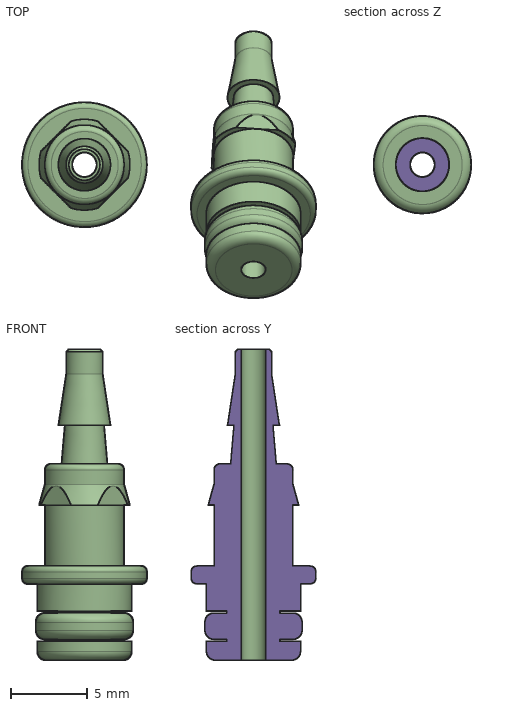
import cadquery as cq

total_height = 20.4
bore_diameter = 1.6

plug_diameter = 6.2
plug_end_height = 1.26
plug_end_fillet = 0.6
groove_diameter = 3.5
groove_top = 3.22

ring_diameter = 6.4
ring_width = 1.75
ring_fillet = 0.61

flange_diameter = 8.2
flange_bottom = 5.0
flange_top = 6.2
flange_fillet = 0.39

body_diameter = 5.2
body_top = 12.9
body_fillet = 0.4

collar_bottom = 10.18
collar_top = 11.55
collar_diameter = 5.95
across_flats = 5.26

neck_bottom_diameter = 3.02
neck_top_diameter = 2.6
barb_bottom = 15.4
barb_diameter = 3.43
tip_bottom = 18.77
tip_diameter = 2.4
tip_chamfer = 0.18


def cylinder(diameter, bottom, top):
    return cq.Workplane("XY").workplane(offset=bottom).circle(diameter / 2).extrude(top - bottom)


def cone(bottom_diameter, top_diameter, bottom, top):
    return (
        cq.Workplane("XY")
        .workplane(offset=bottom)
        .circle(bottom_diameter / 2)
        .workplane(offset=top - bottom)
        .circle(top_diameter / 2)
        .loft(ruled=True)
    )


def make_plug():
    end = cylinder(plug_diameter, 0, plug_end_height).faces("<Z").edges().fillet(plug_end_fillet)
    groove_core = cylinder(groove_diameter, plug_end_height, groove_top)
    shoulder = cylinder(plug_diameter, groove_top, flange_bottom)
    return end.union(groove_core).union(shoulder)


def make_sealing_ring():
    groove_middle = (plug_end_height + groove_top) / 2
    bottom = groove_middle - ring_width / 2
    top = groove_middle + ring_width / 2
    return cylinder(ring_diameter, bottom, top).edges().fillet(ring_fillet)


def make_flange():
    return cylinder(flange_diameter, flange_bottom, flange_top).edges().fillet(flange_fillet)


def make_body():
    return cylinder(body_diameter, flange_top, body_top).faces(">Z").edges().fillet(body_fillet)


def make_collar():
    """Cone trimmed by a square prism whose sides face the XY diagonals."""
    flats = (
        cq.Workplane("XY")
        .workplane(offset=collar_bottom)
        .transformed(rotate=(0, 0, 45))
        .rect(across_flats, across_flats)
        .extrude(collar_top - collar_bottom)
    )
    return cone(collar_diameter, body_diameter, collar_bottom, collar_top).intersect(flats)


def make_hose_barb():
    neck = cone(neck_bottom_diameter, neck_top_diameter, body_top, barb_bottom)
    barb = cone(barb_diameter, tip_diameter, barb_bottom, tip_bottom)
    tip = cylinder(tip_diameter, tip_bottom, total_height).faces(">Z").edges().chamfer(tip_chamfer)
    return neck.union(barb).union(tip)


result = (
    make_plug()
    .union(make_sealing_ring())
    .union(make_flange())
    .union(make_body())
    .union(make_collar())
    .union(make_hose_barb())
    .cut(cylinder(bore_diameter, 0, total_height))
)